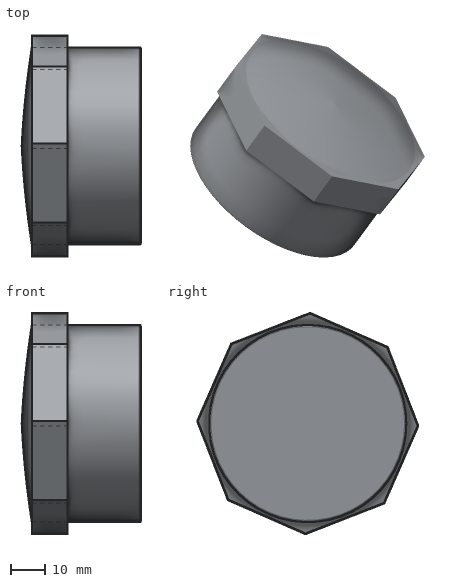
import cadquery as cq
import math

plug_diameter = 58.0
barrel_length = 21.5
end_fillet = 0.5
dome_height = 3.0
dome_mid_height = 1.9
collar_width = 10.5
collar_extent = 64.9
collar_turn = 1.2
collar_sides = 8

plug_radius = plug_diameter / 2
plug_end = collar_width + barrel_length
corner_diameter = collar_extent / math.cos(math.radians(collar_turn))


def make_plug():
    """Round plug with a shallow, slightly pointed dome in front and a rounded rear edge."""
    half_profile = (
        cq.Workplane("XY")
        .moveTo(-dome_height, 0)
        .threePointArc((-dome_mid_height, plug_radius / 2), (0, plug_radius))
        .lineTo(plug_end, plug_radius)
        .lineTo(plug_end, 0)
        .close()
    )
    plug_blank = half_profile.revolve(360, (0, 0, 0), (1, 0, 0))
    return plug_blank.faces(">X").edges().fillet(end_fillet)


def make_collar():
    """Octagonal wrench collar with a through hole that fits the plug."""
    octagon = (
        cq.Workplane("YZ")
        .polygon(collar_sides, corner_diameter)
        .extrude(collar_width)
        .rotate((0, 0, 0), (1, 0, 0), -collar_turn)
    )
    plug_hole = cq.Workplane("YZ").circle(plug_radius).extrude(collar_width)
    return octagon.cut(plug_hole)


plug = make_plug()
collar = make_collar()

result = cq.Compound.makeCompound([plug.val(), collar.val()])